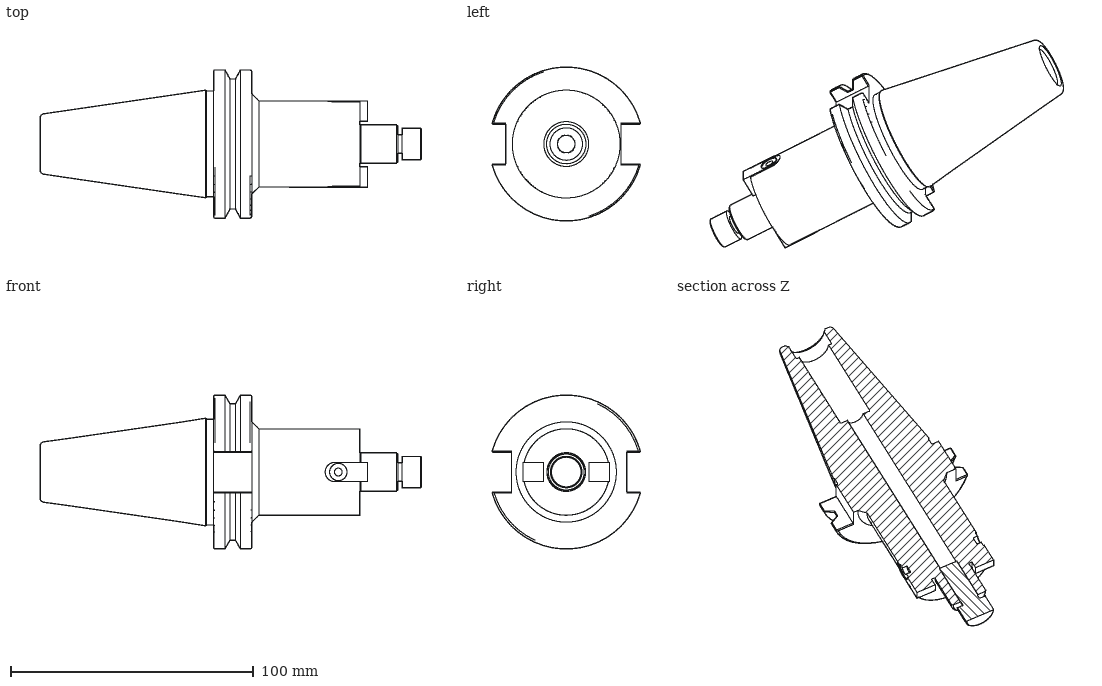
import cadquery as cq
import math


gauge_diameter = 44.45
taper_length = 68.25
taper_per_length = 7 / 24
taper_end_radius = (gauge_diameter - taper_length * taper_per_length) / 2
taper_end_fillet = 1.8
relief_diameter = 43.69
relief_bevel = (gauge_diameter - relief_diameter) / 2

flange_diameter = 63.5
flange_start = 3.26
flange_end = 19.0
front_flange_fillet = 0.6
rear_flange_fillet = 0.85
groove_center = 11.11
groove_root_diameter = 56.36
groove_root_width = 2.2
groove_flank_angle = 30
groove_depth = (flange_diameter - groove_root_diameter) / 2
groove_root_half = groove_root_width / 2
groove_mouth_half = groove_root_half + groove_depth * math.tan(math.radians(groove_flank_angle))

slot_width = 16.26
slot_edge_chamfer = 0.43
edge_tolerance = 0.01
shallow_slot_floor = 25.0
deep_slot_floor = 22.6

body_diameter = 35.64
body_end = 63.5
shoulder_bevel = 2.85
pilot_diameter = 16.0
pilot_end = 79.1
pilot_chamfer = 0.6
pilot_groove_diameter = 15.75
pilot_groove_width = 0.5

key_width = 8.0
key_start = 49.2
key_end = 66.7
key_outer = body_diameter / 2
key_inner = 9.3
key_screw_x = 54.6
key_screw_diameter = 7.16
key_screw_recess = 0.4
key_socket_diameter = 3.2
key_socket_depth = 2.0

bore_mouth_diameter = 18.5
bore_diameter = 16.26
bore_mouth_chamfer = (bore_mouth_diameter - bore_diameter) / 2
bore_depth = 7.9
inner_bore_diameter = 13.39
inner_bore_depth = 45.0
coolant_hole_diameter = 7.16

screw_tip = 60.0
screw_shank_diameter = 7.77
screw_head_diameter = 13.0
screw_head_start = 80.9
screw_end = 88.85
screw_end_chamfer = 0.4


def x_cylinder(diameter, start, end):
    """Solid cylinder on the X axis between two stations."""
    return cq.Workplane("YZ", origin=(start, 0, 0)).circle(diameter / 2).extrude(end - start)


def turned_blank():
    """Holder outside, revolved about X."""
    flange_radius = flange_diameter / 2
    groove_root_radius = groove_root_diameter / 2
    relief_radius = relief_diameter / 2
    body_radius = body_diameter / 2
    pilot_radius = pilot_diameter / 2
    pilot_groove_radius = pilot_groove_diameter / 2
    profile = (
        cq.Workplane("XY")
        .moveTo(-taper_length, 0)
        .lineTo(-taper_length, taper_end_radius)
        .lineTo(0, gauge_diameter / 2)
        .lineTo(relief_bevel, relief_radius)
        .lineTo(flange_start, relief_radius)
        .lineTo(flange_start, flange_radius - front_flange_fillet)
        .radiusArc((flange_start + front_flange_fillet, flange_radius), front_flange_fillet)
        .lineTo(groove_center - groove_mouth_half, flange_radius)
        .lineTo(groove_center - groove_root_half, groove_root_radius)
        .lineTo(groove_center + groove_root_half, groove_root_radius)
        .lineTo(groove_center + groove_mouth_half, flange_radius)
        .lineTo(flange_end - rear_flange_fillet, flange_radius)
        .radiusArc((flange_end, flange_radius - rear_flange_fillet), rear_flange_fillet)
        .lineTo(flange_end, body_radius + shoulder_bevel)
        .lineTo(flange_end + shoulder_bevel, body_radius)
        .lineTo(body_end, body_radius)
        .lineTo(body_end, pilot_groove_radius)
        .lineTo(body_end + pilot_groove_width, pilot_groove_radius)
        .lineTo(body_end + pilot_groove_width, pilot_radius)
        .lineTo(pilot_end - pilot_chamfer, pilot_radius)
        .lineTo(pilot_end, pilot_radius - pilot_chamfer)
        .lineTo(pilot_end, 0)
        .close()
    )
    blank = profile.revolve(360, (0, 0, 0), (1, 0, 0))
    return blank.faces("<X").edges().fillet(taper_end_fillet)


def drive_slot(side, floor):
    """Cutter for a flange slot on the +Y (side = 1) or -Y (side = -1) side."""
    depth = flange_diameter / 2 - floor
    length = flange_end - flange_start
    center = (flange_start + length / 2, side * (floor + depth / 2), 0)
    return cq.Workplane("XY", origin=center).box(length, depth, slot_width)


def chamfer_slot_walls(holder):
    """Break the edges where the slot walls meet the outside of the flange."""
    slot_walls = holder.faces("|Z")
    floor_edges = slot_walls.edges(cq.selectors.BoxSelector(
        (flange_start, -deep_slot_floor - edge_tolerance, -slot_width),
        (flange_end, shallow_slot_floor + edge_tolerance, slot_width),
    )).vals()
    rim = [edge for edge in slot_walls.edges().vals()
           if not any(edge.isSame(floor_edge) for floor_edge in floor_edges)]
    return holder.newObject(rim).chamfer(slot_edge_chamfer)


def key_face(side, station):
    """Workplane on the outer face of a key, centred at an X station; its normal points outward."""
    return cq.Workplane(cq.Plane((station, side * key_outer, 0), xDir=(1, 0, 0), normal=(0, side, 0)))


def drive_key(side):
    """Key with a round end toward the flange, on the +Y (1) or -Y (-1) side."""
    height = key_outer - key_inner
    round_center = key_start + key_width / 2
    straight = key_end - round_center
    bar = key_face(side, round_center + straight / 2).rect(straight, key_width).extrude(-height)
    round_end = key_face(side, round_center).circle(key_width / 2).extrude(-height)
    return bar.union(round_end)


def key_screw_cutter(side):
    """Recess above the key screw head, and the socket in the head."""
    face = key_face(side, key_screw_x)
    recess = face.circle(key_screw_diameter / 2).extrude(-key_screw_recess)
    socket = face.circle(key_socket_diameter / 2).extrude(-key_screw_recess - key_socket_depth)
    return recess.union(socket)


def bore_cutter():
    """Stepped bore, and the hole that the retaining screw fills."""
    start = -taper_length
    mouth_radius = bore_mouth_diameter / 2
    bore_radius = bore_diameter / 2
    mouth_profile = cq.Workplane("XY").polyline([
        (start, 0),
        (start, mouth_radius),
        (start + bore_mouth_chamfer, bore_radius),
        (start + bore_depth, bore_radius),
        (start + bore_depth, 0),
    ]).close()
    bore = mouth_profile.revolve(360, (0, 0, 0), (1, 0, 0))
    bore = bore.union(x_cylinder(inner_bore_diameter, start + bore_depth, start + inner_bore_depth))
    bore = bore.union(x_cylinder(coolant_hole_diameter, start + inner_bore_depth, screw_tip))
    return bore.union(x_cylinder(screw_shank_diameter, screw_tip, pilot_end))


def make_holder():
    holder = turned_blank()
    holder = holder.cut(drive_slot(1, shallow_slot_floor)).cut(drive_slot(-1, deep_slot_floor))
    holder = chamfer_slot_walls(holder)
    for side in (-1, 1):
        holder = holder.union(drive_key(side)).cut(key_screw_cutter(side))
    return holder.cut(bore_cutter())


def make_retaining_screw():
    head = x_cylinder(screw_head_diameter, screw_head_start, screw_end)
    head = head.faces(">X").chamfer(screw_end_chamfer)
    return head.union(x_cylinder(screw_shank_diameter, screw_tip, screw_head_start))


holder = make_holder()
retaining_screw = make_retaining_screw()

result = cq.Compound.makeCompound([holder.val(), retaining_screw.val()])